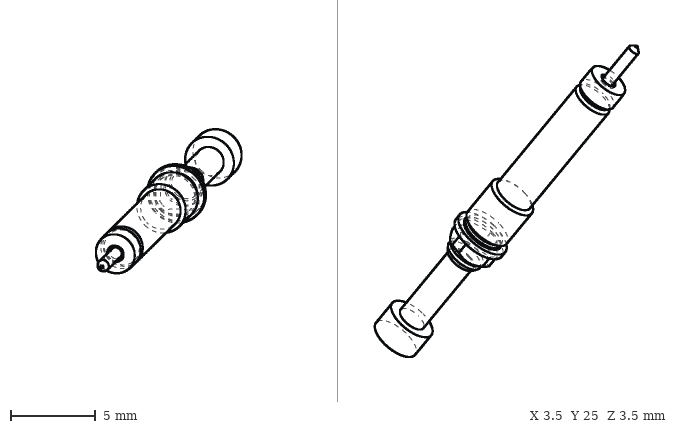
import cadquery as cq

TOTAL_LENGTH = 25.0
TIP_Y = -TOTAL_LENGTH / 2

PIN_RADIUS = 0.35
PIN_TIP_RADIUS = 0.1
PIN_TIP_LENGTH = 0.28

BARREL_RADIUS = 1.22
BARREL_END_RADIUS = 1.2
BARREL_START = 2.9
BARREL_TAPER_LENGTH = 0.38
GROOVE_CENTER = 4.32
GROOVE_HALF_WIDTH = 0.22
GROOVE_DEPTH = 0.15
RECESS_RADIUS = 0.5
RECESS_DEPTH = 0.15

SLEEVE_RADIUS = 1.5
SLEEVE_START = 12.72
SLEEVE_LEAD_IN = 0.15
SLEEVE_END = 15.5
NECK_RADIUS = 1.25
SLEEVE_CONE_LENGTH = 0.2

FLANGE_RADIUS = 1.75
FLANGE_START = 15.98
FLANGE_END = 16.38
FLANGE_ROOT_RADIUS = 1.35
FLANGE_ROOT_LENGTH = 0.05

SQUARE_WIDTH = 2.65
CUTTER_SIZE = 10.0
SQUARE_CORNER_RADIUS = 1.58
SQUARE_END = 17.2
SQUARE_CONE_END = 17.6

COLLAR_RADIUS = 1.18
COLLAR_TAPER_START = 17.88
COLLAR_END = 18.18
COLLAR_END_RADIUS = 1.0

STEM_RADIUS = 0.88
HEAD_RADIUS = 1.5
HEAD_START = 23.3


def turned_body():
    """Revolve the half outline, given as (radius, distance from the tip), about the Y axis."""
    outline = [
        (0, 0),
        (PIN_TIP_RADIUS, 0),
        (PIN_RADIUS, PIN_TIP_LENGTH),
        (PIN_RADIUS, BARREL_START + RECESS_DEPTH),
        (RECESS_RADIUS, BARREL_START + RECESS_DEPTH),
        (RECESS_RADIUS, BARREL_START),
        (BARREL_END_RADIUS, BARREL_START),
        (BARREL_RADIUS, BARREL_START + BARREL_TAPER_LENGTH),
        (BARREL_RADIUS, GROOVE_CENTER - GROOVE_HALF_WIDTH),
        (BARREL_RADIUS - GROOVE_DEPTH, GROOVE_CENTER),
        (BARREL_RADIUS, GROOVE_CENTER + GROOVE_HALF_WIDTH),
        (BARREL_RADIUS, SLEEVE_START),
        (SLEEVE_RADIUS, SLEEVE_START + SLEEVE_LEAD_IN),
        (SLEEVE_RADIUS, SLEEVE_END),
        (NECK_RADIUS, SLEEVE_END + SLEEVE_CONE_LENGTH),
        (NECK_RADIUS, FLANGE_START - FLANGE_ROOT_LENGTH),
        (FLANGE_ROOT_RADIUS, FLANGE_START),
        (FLANGE_RADIUS, FLANGE_START),
        (FLANGE_RADIUS, FLANGE_END),
        (SQUARE_CORNER_RADIUS, FLANGE_END),
        (SQUARE_CORNER_RADIUS, SQUARE_END),
        (COLLAR_RADIUS, SQUARE_CONE_END),
        (COLLAR_RADIUS, COLLAR_TAPER_START),
        (COLLAR_END_RADIUS, COLLAR_END),
        (STEM_RADIUS, COLLAR_END),
        (STEM_RADIUS, HEAD_START),
        (HEAD_RADIUS, HEAD_START),
        (HEAD_RADIUS, TOTAL_LENGTH),
        (0, TOTAL_LENGTH),
    ]
    profile = cq.Workplane("XY", origin=(0, TIP_Y, 0)).polyline(outline).close()
    return profile.revolve(360, (0, 0, 0), (0, 1, 0))


def square_cutter():
    """Block with a square window that leaves four wrench flats between flange and collar."""
    length = SQUARE_CONE_END - FLANGE_END
    start = cq.Workplane("XZ", origin=(0, TIP_Y + FLANGE_END, 0))
    return start.rect(CUTTER_SIZE, CUTTER_SIZE).rect(SQUARE_WIDTH, SQUARE_WIDTH).extrude(-length)


result = turned_body().cut(square_cutter())